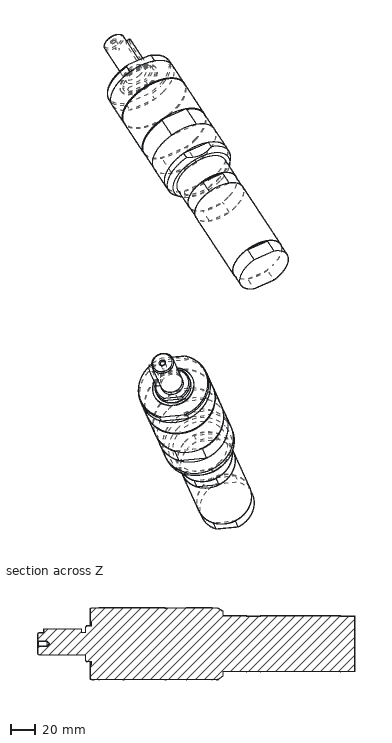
import cadquery as cq

total_length = 263.0

shaft_dia = 18.7
shaft_seat_dia = 19.0
shaft_seat_x = 35.8
shaft_chamfer = 1.0

centre_mouth_dia = 5.5
centre_bore_dia = 4.0
centre_mouth_depth = 0.8
centre_bore_depth = 8.0
centre_tip_depth = centre_bore_depth + centre_bore_dia / 2

key_start_x = 5.0
key_length = 31.5
key_width = 6.0
key_top = 12.4
key_floor = 5.3

collar_start_x = 39.7
collar_dia = 30.0
collar_chamfer = 1.0
collar_across_flats = 24.7
recess_dia = 35.0
recess_depth = 1.0

body_start_x = 43.7
recess_floor_x = body_start_x + recess_depth
body_end_x = 153.9
body_dia = 60.0
body_band_dia = 59.7
body_across_flats = 55.0
body_front_chamfer_length = 1.5
body_front_chamfer_height = 0.8
body_rear_taper_length = 4.7
body_rear_taper_height = 3.2
body_flat_spans = [(body_start_x, 50.8), (105.7, 123.5), (144.5, body_end_x)]

joint_grooves_x = [70.7, 105.7]
joint_groove_width = 0.8
joint_groove_depth = 0.3

housing_dia = 46.5
housing_band_dia = 46.0
housing_across_flats = 42.0
housing_flat_spans = [(173.5, 185.0), (251.7, total_length)]
housing_band_lead = 0.5


def cylinder(start_x, end_x, dia):
    """Solid cylinder on the X axis between two stations."""
    return cq.Workplane("YZ", origin=(start_x, 0, 0)).circle(dia / 2).extrude(end_x - start_x)


def ring(start_x, end_x, inner_dia, outer_dia):
    """Tube on the X axis, used as a cutter."""
    profile = cq.Workplane("YZ", origin=(start_x, 0, 0)).circle(outer_dia / 2).circle(inner_dia / 2)
    return profile.extrude(end_x - start_x)


def cut_flats(solid, start_x, end_x, across_flats, stock_dia):
    """Cut a pair of flats facing +Z and -Z over a length of the solid."""
    length = end_x - start_x
    for side in (1, -1):
        cutter = cq.Workplane("XY").box(length, stock_dia, stock_dia, centered=(False, True, True))
        height = side * (across_flats + stock_dia) / 2
        solid = solid.cut(cutter.translate((start_x, 0, height)))
    return solid


def make_shaft():
    shaft = cylinder(0, shaft_seat_x, shaft_dia).faces("<X").chamfer(shaft_chamfer)
    shaft = shaft.union(cylinder(shaft_seat_x, recess_floor_x, shaft_seat_dia))
    mouth_radius = centre_mouth_dia / 2
    bore_radius = centre_bore_dia / 2
    centre_hole = (
        cq.Workplane("XY")
        .moveTo(0, 0)
        .lineTo(0, mouth_radius)
        .lineTo(centre_mouth_depth, bore_radius)
        .lineTo(centre_bore_depth, bore_radius)
        .lineTo(centre_tip_depth, 0)
        .close()
        .revolve(360, (0, 0, 0), (1, 0, 0))
    )
    return shaft.cut(centre_hole)


def make_key():
    key_plane = cq.Workplane("XZ", origin=(key_start_x + key_length / 2, key_floor, 0))
    return key_plane.slot2D(key_length, key_width).extrude(key_floor - key_top)


def make_collar():
    collar = cylinder(collar_start_x, recess_floor_x, collar_dia)
    collar = collar.faces("<X").chamfer(collar_chamfer)
    return cut_flats(collar, collar_start_x, body_start_x, collar_across_flats, collar_dia)


def make_body():
    radius = body_dia / 2
    body = (
        cq.Workplane("XY")
        .moveTo(body_start_x, 0)
        .lineTo(body_start_x, radius - body_front_chamfer_height)
        .lineTo(body_start_x + body_front_chamfer_length, radius)
        .lineTo(body_end_x - body_rear_taper_length, radius)
        .lineTo(body_end_x, radius - body_rear_taper_height)
        .lineTo(body_end_x, 0)
        .close()
        .revolve(360, (0, 0, 0), (1, 0, 0))
    )
    body = body.cut(cylinder(body_start_x, recess_floor_x, recess_dia))
    groove_floor_dia = body_dia - 2 * joint_groove_depth
    for groove_x in joint_grooves_x:
        body = body.cut(ring(groove_x, groove_x + joint_groove_width, groove_floor_dia, body_dia))
    for start_x, end_x in body_flat_spans:
        body = body.cut(ring(start_x, end_x, body_band_dia, body_dia))
        body = cut_flats(body, start_x, end_x, body_across_flats, body_dia)
    return body


def make_housing():
    housing = cylinder(body_end_x, total_length, housing_dia)
    for start_x, end_x in housing_flat_spans:
        housing = housing.cut(ring(start_x - housing_band_lead, end_x, housing_band_dia, housing_dia))
        housing = cut_flats(housing, start_x, end_x, housing_across_flats, housing_dia)
    return housing


result = make_body().union(make_housing()).union(make_collar()).union(make_shaft()).union(make_key())